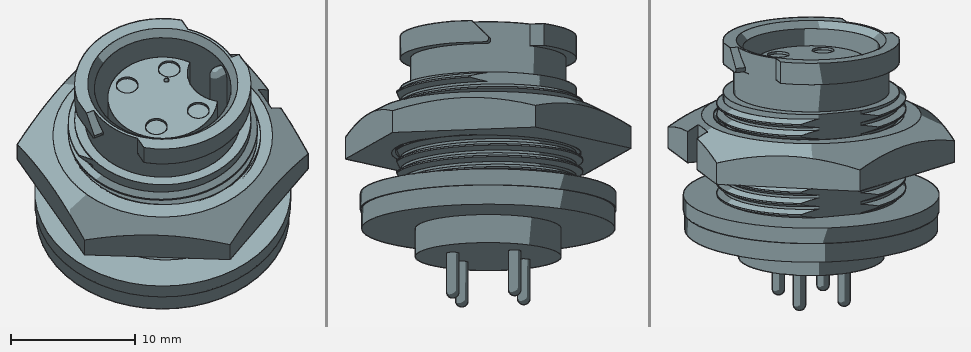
import cadquery as cq
import math

insert_bottom_z = -2.3
rim_height = 1.57
flange_top_z = 2.87
nut_bottom_z = 6.15
nut_height = 3.37
shoulder_z = 11.47
top_z = 15.75
insert_face_z = 14.08

rim_radius = 10.2
flange_radius = 10.31
tail_radius = 5.88

pitch = 25.4 / 27
half_flank_tan = math.tan(math.radians(30))
barrel_radius = 7.1
thread_radius = 7.62
thread_crest_half = 0.06
thread_end_z = 11.02
thread_turns = 9.5
thread_runout = 1.27
thread_overrun = 15
join_overlap = 0.05
flat_distance = 6.87

neck_radius = 6.27
collar_radius = 7.1
collar_height = 1.79
collar_flat_distance = 6.93
gap_wall_distance = 4.55
lug_tip_x = 1.38
lug_corner_radius = 0.25

socket_radius = 5.5
socket_mouth_radius = 6.04
insert_radius = 4.42
scallop_radius = 3.19
scallop_center_y = 5.83
key_radius = 0.71
key_center_y = 5.08
key_top_z = 14.9
contact_x = 2.54
contact_y = 1.905
contact_hole_radius = 0.87
contact_hole_depth = 0.2
dot_x = -1.53
dot_y = 1.14
dot_radius = 0.2

pin_radius = 0.51
pin_tip_z = -5.97

nut_across_flats = 20.32
nut_corner_radius = nut_across_flats / math.sqrt(3)
nut_top_radius = 8.84
nut_corner_drop = 1.59
nut_bore_radius = 7.47
nut_groove_radius = 7.88
nut_groove_crest_half = 0.05
nut_groove_drop = 0.07
nut_notch_width = 2.23
nut_notch_floor_y = 9.27


def cylinder(radius, bottom, top, x=0, y=0):
    return cq.Workplane("XY", origin=(x, y, bottom)).circle(radius).extrude(top - bottom)


def thread_ridge(root_radius, crest_radius, crest_half):
    """Right-hand helical ridge that runs a little past its nominal end on the -Y side."""
    root_half = crest_half + (crest_radius - root_radius) * half_flank_tan
    height = thread_turns * pitch
    path = cq.Wire.makeHelix(pitch, height, root_radius)
    ridge = (
        cq.Workplane("XZ")
        .polyline([
            (root_radius, -root_half),
            (crest_radius, -crest_half),
            (crest_radius, crest_half),
            (root_radius, root_half),
        ])
        .close()
        .sweep(cq.Workplane(path), isFrenet=True)
    )
    turn = -90 + thread_overrun - 360 * (thread_turns % 1)
    end_z = thread_end_z + pitch * thread_overrun / 360
    return ridge.rotate((0, 0, 0), (0, 0, 1), turn).translate((0, 0, end_z - height))


def thread_end_cutter():
    """Prism that trims the last thread turn to a face slanting from crest to root."""
    root_y = -math.sqrt(barrel_radius**2 - thread_runout**2)
    slope = (root_y + thread_radius) / thread_runout
    far_x = 2 * thread_runout
    return (
        cq.Workplane("XY", origin=(0, 0, thread_end_z - pitch / 2))
        .moveTo(0, -thread_radius)
        .lineTo(far_x, -thread_radius + slope * far_x)
        .lineTo(far_x, -flange_radius)
        .lineTo(0, -flange_radius)
        .close()
        .extrude(pitch)
    )


def threaded_barrel():
    ridge = thread_ridge(barrel_radius - join_overlap, thread_radius, thread_crest_half)
    barrel = cylinder(barrel_radius, 0, shoulder_z).union(ridge.cut(thread_end_cutter()))
    flat_cutter = cq.Workplane("XY").box(
        flange_radius, 2 * flange_radius, shoulder_z, centered=(True, True, False)
    )
    return barrel.cut(flat_cutter.translate((-flat_distance - flange_radius / 2, 0, 0)))


def bayonet_gap():
    """Opening in the collar on the -Y side, bounded on its left by the ramped lug."""
    bottom = top_z - collar_height
    profile = (
        cq.Workplane("XZ", origin=(0, -gap_wall_distance, 0))
        .moveTo(0, top_z)
        .lineTo(lug_tip_x, top_z - lug_tip_x)
        .lineTo(lug_tip_x, bottom + lug_corner_radius)
        .radiusArc((lug_tip_x - lug_corner_radius, bottom), lug_corner_radius)
        .lineTo(collar_radius, bottom)
        .lineTo(collar_radius, top_z)
        .close()
        .extrude(collar_radius)
    )
    return profile.cut(cylinder(neck_radius, bottom, top_z))


def bayonet_collar():
    bottom = top_z - collar_height
    collar = cylinder(collar_radius, bottom, top_z).intersect(
        cq.Workplane("XY", origin=(0, 0, bottom)).box(
            2 * collar_radius, 2 * collar_flat_distance, collar_height, centered=(True, True, False)
        )
    )
    for angle in (0, 180):
        collar = collar.cut(bayonet_gap().rotate((0, 0, 0), (0, 0, 1), angle))
    return collar


def socket_cavity():
    """Plain bore down to the flange top, with a 45 degree mouth."""
    mouth_depth = socket_mouth_radius - socket_radius
    return (
        cq.Workplane("XZ")
        .polyline([
            (0, flange_top_z),
            (socket_radius, flange_top_z),
            (socket_radius, top_z - mouth_depth),
            (socket_mouth_radius, top_z),
            (0, top_z),
        ])
        .close()
        .revolve(360, (0, 0, 0), (0, 1, 0))
    )


def contact_points():
    return [(x, y) for x in (-contact_x, contact_x) for y in (-contact_y, contact_y)]


def contact_insert():
    insert = cylinder(insert_radius, flange_top_z, insert_face_z)
    insert = insert.cut(cylinder(scallop_radius, flange_top_z, insert_face_z, y=scallop_center_y))
    for x, y in contact_points():
        hole_floor_z = insert_face_z - contact_hole_depth
        insert = insert.cut(cylinder(contact_hole_radius, hole_floor_z, insert_face_z, x, y))
    dot = cq.Workplane("XY").sphere(dot_radius).translate((dot_x, dot_y, insert_face_z))
    return insert.union(dot)


def key():
    """Post against the +Y side of the socket: half-round towards the axis, straight towards the wall."""
    dome_z = key_top_z - key_radius
    wall_y = socket_radius + join_overlap
    post = cylinder(key_radius, flange_top_z, dome_z, y=key_center_y)
    post = post.union(cq.Workplane("XY").sphere(key_radius).translate((0, key_center_y, dome_z)))
    back = (
        cq.Workplane("XZ", origin=(0, key_center_y, 0))
        .moveTo(-key_radius, flange_top_z)
        .lineTo(-key_radius, dome_z)
        .radiusArc((key_radius, dome_z), key_radius)
        .lineTo(key_radius, flange_top_z)
        .close()
        .extrude(key_center_y - wall_y)
    )
    return post.union(back).intersect(cylinder(wall_y, flange_top_z, top_z))


def solder_pin(x, y):
    dome_z = pin_tip_z + pin_radius
    dome = cq.Workplane("XY").sphere(pin_radius).translate((x, y, dome_z))
    return cylinder(pin_radius, dome_z, insert_bottom_z, x, y).union(dome)


def make_connector():
    body = threaded_barrel()
    body = body.union(cylinder(neck_radius, 0, top_z))
    body = body.union(bayonet_collar())
    body = body.union(cylinder(rim_radius, 0, rim_height))
    body = body.union(cylinder(flange_radius, rim_height, flange_top_z))
    body = body.cut(socket_cavity())
    body = body.union(contact_insert())
    body = body.union(key())
    body = body.union(cylinder(tail_radius, insert_bottom_z, 0))
    for x, y in contact_points():
        body = body.union(solder_pin(x, y))
    return body


def make_nut():
    top = nut_bottom_z + nut_height
    corner_z = top - nut_corner_drop
    hexagon = (
        cq.Workplane("XY", origin=(0, 0, nut_bottom_z))
        .polygon(6, 2 * nut_corner_radius)
        .extrude(nut_height)
    )
    chamfered_blank = (
        cq.Workplane("XZ")
        .polyline([
            (0, nut_bottom_z),
            (nut_corner_radius, nut_bottom_z),
            (nut_corner_radius, corner_z),
            (nut_top_radius, top),
            (0, top),
        ])
        .close()
        .revolve(360, (0, 0, 0), (0, 1, 0))
    )
    nut = hexagon.intersect(chamfered_blank)
    groove = thread_ridge(nut_bore_radius - join_overlap, nut_groove_radius, nut_groove_crest_half)
    nut = nut.cut(groove.translate((0, 0, -nut_groove_drop)))
    nut = nut.cut(cylinder(nut_bore_radius, nut_bottom_z, top))
    notch = cq.Workplane("XY", origin=(0, nut_notch_floor_y, nut_bottom_z)).box(
        nut_notch_width, nut_across_flats, nut_height, centered=(True, False, False)
    )
    return nut.cut(notch)


connector = make_connector()
nut = make_nut()

result = cq.Compound.makeCompound([connector.solids().val(), nut.solids().val()])